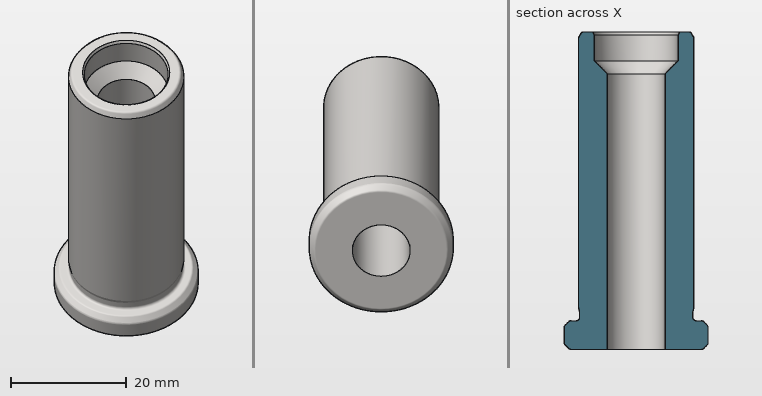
import cadquery as cq
import math

LENGTH = 55.0
HEAD_DIAMETER = 25.0
HEAD_HEIGHT = 5.0
BODY_DIAMETER = 20.0

CHAMFER_HEIGHT = 1.0
LEAD_IN_ANGLE = math.radians(30)
EDGE_RADIUS = 0.5

GROOVE_DIAMETER = 19.7
GROOVE_HEIGHT = 2.2
GROOVE_RAMP_HEIGHT = 0.65

BORE_DIAMETER = 10.0
COUNTERBORE_DIAMETER = 14.5
COUNTERBORE_DEPTH = 5.0
MOUTH_CHAMFER_HEIGHT = 0.5

SELECTION_MARGIN = 0.05


def revolve_profile(points):
    """Revolve a closed (radius, height) outline about the Z axis."""
    return cq.Workplane("XZ").polyline(points).close().revolve(360, (0, 0, 0), (0, 1, 0))


def fillet_between(solid, lowest, highest):
    """Round every circular edge whose height lies between two levels."""
    reach = HEAD_DIAMETER
    low_corner = (-reach, -reach, lowest - SELECTION_MARGIN)
    high_corner = (reach, reach, highest + SELECTION_MARGIN)
    box = cq.selectors.BoxSelector(low_corner, high_corner)
    return solid.edges("%CIRCLE").edges(box).fillet(EDGE_RADIUS)


def make_outside():
    """Headed pin with chamfered ends and a relief groove above the head."""
    head_radius = HEAD_DIAMETER / 2
    body_radius = BODY_DIAMETER / 2
    groove_radius = GROOVE_DIAMETER / 2
    head_face_radius = head_radius - CHAMFER_HEIGHT
    end_face_radius = body_radius - CHAMFER_HEIGHT * math.tan(LEAD_IN_ANGLE)
    groove_top = HEAD_HEIGHT + GROOVE_HEIGHT
    solid = revolve_profile([
        (0, 0),
        (head_face_radius, 0),
        (head_radius, CHAMFER_HEIGHT),
        (head_radius, HEAD_HEIGHT - CHAMFER_HEIGHT),
        (head_face_radius, HEAD_HEIGHT),
        (groove_radius, HEAD_HEIGHT),
        (groove_radius, groove_top - GROOVE_RAMP_HEIGHT),
        (body_radius, groove_top),
        (body_radius, LENGTH - CHAMFER_HEIGHT),
        (end_face_radius, LENGTH),
        (0, LENGTH),
    ])
    solid = fillet_between(solid, 0, HEAD_HEIGHT)
    return fillet_between(solid, LENGTH, LENGTH)


def make_bore():
    """Through bore with a 45 degree step up to a chamfered counterbore."""
    bore_radius = BORE_DIAMETER / 2
    counterbore_radius = COUNTERBORE_DIAMETER / 2
    mouth_radius = counterbore_radius + MOUTH_CHAMFER_HEIGHT * math.tan(LEAD_IN_ANGLE)
    step_top = LENGTH - COUNTERBORE_DEPTH
    step_height = counterbore_radius - bore_radius
    return revolve_profile([
        (0, 0),
        (bore_radius, 0),
        (bore_radius, step_top - step_height),
        (counterbore_radius, step_top),
        (counterbore_radius, LENGTH - MOUTH_CHAMFER_HEIGHT),
        (mouth_radius, LENGTH),
        (0, LENGTH),
    ])


result = make_outside().cut(make_bore())